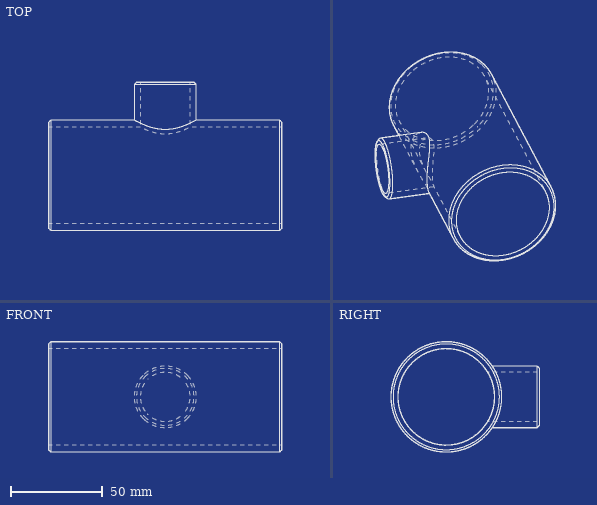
import cadquery as cq

RUN_LENGTH = 127.0
RUN_OUTER_DIAMETER = 60.325
RUN_WALL = 3.912
BRANCH_OUTER_DIAMETER = 33.7
BRANCH_WALL = 3.38
BRANCH_REACH = 50.8
WELD_BEVEL = 1.25

RUN_BORE_DIAMETER = RUN_OUTER_DIAMETER - 2 * RUN_WALL
BRANCH_BORE_DIAMETER = BRANCH_OUTER_DIAMETER - 2 * BRANCH_WALL


def run_cylinder(diameter):
    """Cylinder along X, as long as the run and centred on the origin."""
    return cq.Workplane("YZ").circle(diameter / 2).extrude(RUN_LENGTH / 2, both=True)


def branch_cylinder(diameter):
    """Cylinder from the run axis out to the branch end face at +Y."""
    return cq.Workplane("XZ").circle(diameter / 2).extrude(-BRANCH_REACH)


run_body = run_cylinder(RUN_OUTER_DIAMETER).faces("<X or >X").chamfer(WELD_BEVEL)
branch_body = branch_cylinder(BRANCH_OUTER_DIAMETER).faces(">Y").chamfer(WELD_BEVEL)
tee_body = run_body.union(branch_body)

run_bore = run_cylinder(RUN_BORE_DIAMETER)
branch_bore = branch_cylinder(BRANCH_BORE_DIAMETER)

result = tee_body.cut(run_bore).cut(branch_bore)